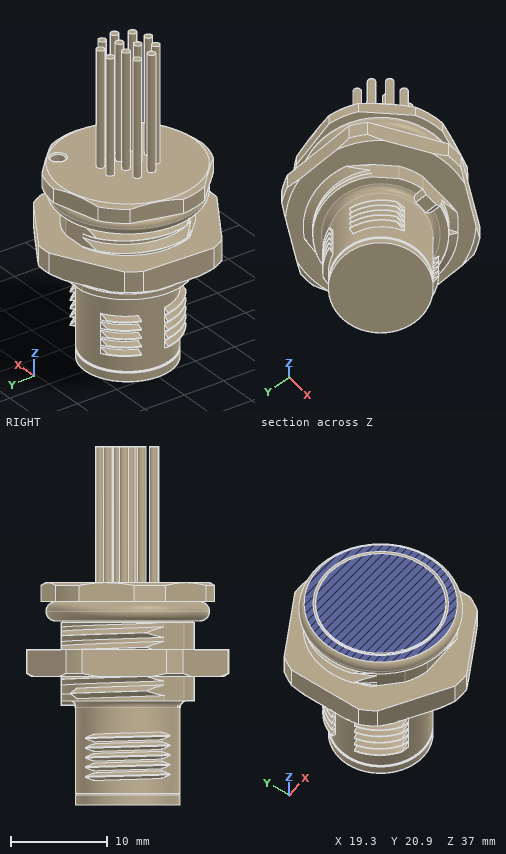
import cadquery as cq
import math

TOTAL_HEIGHT = 37.0
BARREL_TOP = 10.75
NUT_BOTTOM = 13.25
NUT_HEIGHT = 2.8
THREAD_TOP = 18.85
FLANGE_BOTTOM = 21.0
FLANGE_TOP = 23.0

BARREL_RADIUS = 5.42
BARREL_FILLET = 0.7
SPLIT_GROOVE_BOTTOM = 1.05
SPLIT_GROOVE_WIDTH = 0.15
SPLIT_GROOVE_DEPTH = 0.08
BARREL_THREAD_RADIUS = 6.0
BARREL_THREAD_PITCH = 1.0
BARREL_THREAD_BASE = 0.8
BARREL_THREAD_CREST = 0.1
BARREL_THREAD_START_Z = 2.9
BARREL_THREAD_START_ANGLE = -50.0
BARREL_THREAD_TURNS = 4.85
SIDE_PATCH_OUTER_Y = 5.0
FRONT_PATCH_INNER_Y = 0.84
BACK_PATCH_INNER_Y = 2.24
RIGHT_PATCH_X = 4.14

BODY_THREAD_RADIUS = 8.0
BODY_ROOT_RADIUS = 7.06
BODY_THREAD_PITCH = 1.5
BODY_THREAD_BASE = 1.08
BODY_THREAD_CREST = 0.02
BODY_THREAD_START_ANGLE = -48.0
BODY_THREAD_START_Z = 11.53
BODY_THREAD_TURNS = 5.2
BODY_FLAT_DISTANCE = 6.87
BODY_RELIEF_RADIUS = 7.0
LEAD_IN_RADIUS = 7.03
LEAD_IN_TOP = 11.45
NECK_RADIUS = 6.75
FLAT_ANGLES = (225.0, 270.0)

KEY_BOTTOM = 10.3
KEY_TOP_HALF_WIDTH = 1.35
KEY_BOTTOM_HALF_WIDTH = 0.8

NUT_APOTHEM = 9.5
NUT_CORNER_RADIUS = 10.45
NUT_CORNER_ANGLE = 27.87
NUT_CHAMFER_RADIUS = 9.85
FLANGE_APOTHEM = 8.5
FLANGE_CORNER_RADIUS = 9.0
FLANGE_CORNER_ANGLE = 15.0
FLANGE_CHAMFER_RADIUS = 8.43
CHAMFER_SLOPE = math.tan(math.radians(30.0))

RING_SECTION_RADIUS = 1.0
RING_OUTER_RADIUS = 8.45

DIMPLE_RADIUS = 0.82
DIMPLE_CHAMFER = 0.15
DIMPLE_DEPTH = 1.0
DIMPLE_DISTANCE = 7.3
DIMPLE_ANGLE = 45.0

WIRE_RADIUS = 0.45
OUTER_WIRE_COUNT = 9
OUTER_WIRE_CIRCLE = 2.9
OUTER_WIRE_START = 105.5
OUTER_WIRE_STEP = -37.7
INNER_WIRE_COUNT = 3
INNER_WIRE_CIRCLE = 1.1
INNER_WIRE_START = 14.5
INNER_WIRE_STEP = 120.0

THREAD_OVERLAP = 0.1
MARGIN = 5.0


def polar(radius, degrees):
    """Point at a radius and direction in the XY plane."""
    angle = math.radians(degrees)
    return radius * math.cos(angle), radius * math.sin(angle)


def cylinder(radius, bottom, top):
    return cq.Workplane("XY").workplane(offset=bottom).circle(radius).extrude(top - bottom)


def block(x_range, y_range, z_range):
    """Box spanning the three given (low, high) ranges."""
    lows, highs = zip(x_range, y_range, z_range)
    sizes = [high - low for low, high in zip(lows, highs)]
    return cq.Workplane("XY").box(*sizes, centered=False).translate(lows)


def helical_ridge(root, crest, pitch, base_width, crest_width, start_z, start_angle, turns):
    """Right-hand thread ridge with its foot slightly sunk into the root cylinder."""
    height = crest - root
    foot = root - THREAD_OVERLAP
    flank_growth = (base_width - crest_width) * THREAD_OVERLAP / height
    half_foot = (base_width + flank_growth) / 2
    half_crest = crest_width / 2
    profile_points = [(foot, -half_foot), (crest, -half_crest), (crest, half_crest), (foot, half_foot)]
    path = cq.Workplane(obj=cq.Wire.makeHelix(pitch, pitch * turns, root))
    ridge = cq.Workplane("XZ").polyline(profile_points).close().sweep(path, isFrenet=True)
    return ridge.rotate((0, 0, 0), (0, 0, 1), start_angle).translate((0, 0, start_z))


def rounded_hexagon(apothem, corner_radius, corner_angle, bottom, top):
    """Hexagonal prism whose corners are turned down to a cylinder."""
    hexagon = cq.Workplane("XY").workplane(offset=bottom)
    hexagon = hexagon.polygon(6, 2 * apothem / math.cos(math.pi / 6)).extrude(top - bottom)
    hexagon = hexagon.rotate((0, 0, 0), (0, 0, 1), corner_angle)
    return hexagon.intersect(cylinder(corner_radius, bottom, top))


def chamfer_envelope(face_radius, outer_radius, face_z, far_z):
    """Turned blank with a conical chamfer at the end lying at face_z."""
    toward_far = math.copysign(1, far_z - face_z)
    edge_z = face_z + toward_far * (outer_radius - face_radius) * CHAMFER_SLOPE
    profile_points = [
        (0, face_z),
        (face_radius, face_z),
        (outer_radius, edge_z),
        (outer_radius, far_z),
        (0, far_z),
    ]
    return cq.Workplane("XZ").polyline(profile_points).close().revolve(360, (0, 0), (0, 1))


def barrel():
    fillet_start = BARREL_TOP - BARREL_FILLET
    flare_radius = BARREL_RADIUS + BARREL_FILLET
    arc_offset = BARREL_FILLET * (1 - math.sqrt(0.5))
    profile = (
        cq.Workplane("XZ")
        .lineTo(BARREL_RADIUS, 0)
        .lineTo(BARREL_RADIUS, fillet_start)
        .threePointArc((BARREL_RADIUS + arc_offset, BARREL_TOP - arc_offset), (flare_radius, BARREL_TOP))
        .lineTo(0, BARREL_TOP)
        .close()
    )
    groove_top = SPLIT_GROOVE_BOTTOM + SPLIT_GROOVE_WIDTH
    groove = cylinder(BARREL_RADIUS + MARGIN, SPLIT_GROOVE_BOTTOM, groove_top)
    groove = groove.cut(cylinder(BARREL_RADIUS - SPLIT_GROOVE_DEPTH, SPLIT_GROOVE_BOTTOM, groove_top))
    return profile.revolve(360, (0, 0), (0, 1)).cut(groove)


def barrel_thread_patches():
    """The three places where the barrel thread is left standing."""
    ridge = helical_ridge(
        root=BARREL_RADIUS,
        crest=BARREL_THREAD_RADIUS,
        pitch=BARREL_THREAD_PITCH,
        base_width=BARREL_THREAD_BASE,
        crest_width=BARREL_THREAD_CREST,
        start_z=BARREL_THREAD_START_Z,
        start_angle=BARREL_THREAD_START_ANGLE,
        turns=BARREL_THREAD_TURNS,
    )
    reach = BARREL_THREAD_RADIUS + MARGIN
    heights = (0, BARREL_TOP)
    windows = [
        block((-reach, 0), (-SIDE_PATCH_OUTER_Y, -FRONT_PATCH_INNER_Y), heights),
        block((-reach, 0), (BACK_PATCH_INNER_Y, SIDE_PATCH_OUTER_Y), heights),
        block((RIGHT_PATCH_X, reach), (-reach, reach), heights),
    ]
    return [ridge.intersect(window) for window in windows]


def threaded_body():
    """M16 body with two opposite smooth sides, each a pair of flats joined by an arc."""
    body = cylinder(LEAD_IN_RADIUS, BARREL_TOP, LEAD_IN_TOP)
    body = body.union(cylinder(BODY_ROOT_RADIUS, LEAD_IN_TOP, THREAD_TOP))
    body = body.union(cylinder(NECK_RADIUS, THREAD_TOP, FLANGE_BOTTOM))
    ridge = helical_ridge(
        root=BODY_ROOT_RADIUS,
        crest=BODY_THREAD_RADIUS,
        pitch=BODY_THREAD_PITCH,
        base_width=BODY_THREAD_BASE,
        crest_width=BODY_THREAD_CREST,
        start_z=BODY_THREAD_START_Z,
        start_angle=BODY_THREAD_START_ANGLE,
        turns=BODY_THREAD_TURNS,
    )
    body = body.union(ridge.intersect(cylinder(BODY_THREAD_RADIUS + MARGIN, BARREL_TOP, THREAD_TOP)))
    reach = BODY_THREAD_RADIUS + MARGIN
    heights = (BARREL_TOP, FLANGE_BOTTOM)
    wedge = (
        cq.Workplane("XY")
        .workplane(offset=BARREL_TOP)
        .polyline([(0, 0)] + [polar(reach, angle) for angle in FLAT_ANGLES])
        .close()
        .extrude(FLANGE_BOTTOM - BARREL_TOP)
    )
    relief = wedge.cut(cylinder(BODY_RELIEF_RADIUS, *heights))
    flat_side = block((BODY_FLAT_DISTANCE, reach), (-reach, reach), heights)
    for side in (0, 180):
        body = body.cut(relief.rotate((0, 0, 0), (0, 0, 1), side))
        for angle in FLAT_ANGLES:
            body = body.cut(flat_side.rotate((0, 0, 0), (0, 0, 1), angle + side))
    return body


def locating_key():
    key_points = [
        (-KEY_TOP_HALF_WIDTH, BARREL_TOP),
        (-KEY_BOTTOM_HALF_WIDTH, KEY_BOTTOM),
        (KEY_BOTTOM_HALF_WIDTH, KEY_BOTTOM),
        (KEY_TOP_HALF_WIDTH, BARREL_TOP),
    ]
    return cq.Workplane("XZ").polyline(key_points).close().extrude(BODY_FLAT_DISTANCE)


def nut():
    top = NUT_BOTTOM + NUT_HEIGHT
    hexagon = rounded_hexagon(NUT_APOTHEM, NUT_CORNER_RADIUS, NUT_CORNER_ANGLE, NUT_BOTTOM, top)
    return hexagon.intersect(chamfer_envelope(NUT_CHAMFER_RADIUS, NUT_CORNER_RADIUS, NUT_BOTTOM, top))


def sealing_ring():
    center_radius = RING_OUTER_RADIUS - RING_SECTION_RADIUS
    center_z = FLANGE_BOTTOM - RING_SECTION_RADIUS
    section = cq.Workplane("XZ").center(center_radius, center_z).circle(RING_SECTION_RADIUS)
    return section.revolve(360, (-center_radius, 0), (-center_radius, 1))


def flange():
    hexagon = rounded_hexagon(
        FLANGE_APOTHEM, FLANGE_CORNER_RADIUS, FLANGE_CORNER_ANGLE, FLANGE_BOTTOM, FLANGE_TOP
    )
    blank = chamfer_envelope(FLANGE_CHAMFER_RADIUS, FLANGE_CORNER_RADIUS, FLANGE_TOP, FLANGE_BOTTOM)
    dimple = cylinder(DIMPLE_RADIUS, FLANGE_TOP - DIMPLE_DEPTH, FLANGE_TOP)
    countersink = cq.Workplane("XY").workplane(offset=FLANGE_TOP).circle(DIMPLE_RADIUS + DIMPLE_CHAMFER)
    countersink = countersink.workplane(offset=-DIMPLE_CHAMFER).circle(DIMPLE_RADIUS).loft()
    dimple = dimple.union(countersink).translate((*polar(DIMPLE_DISTANCE, DIMPLE_ANGLE), 0))
    return hexagon.intersect(blank).cut(dimple)


def wires():
    outer = [
        polar(OUTER_WIRE_CIRCLE, OUTER_WIRE_START + i * OUTER_WIRE_STEP) for i in range(OUTER_WIRE_COUNT)
    ]
    inner = [
        polar(INNER_WIRE_CIRCLE, INNER_WIRE_START + i * INNER_WIRE_STEP) for i in range(INNER_WIRE_COUNT)
    ]
    plane = cq.Workplane("XY").workplane(offset=FLANGE_TOP)
    return plane.pushPoints(outer + inner).circle(WIRE_RADIUS).extrude(TOTAL_HEIGHT - FLANGE_TOP)


result = barrel()
for patch in barrel_thread_patches():
    result = result.union(patch)
for feature in (threaded_body(), locating_key(), nut(), sealing_ring(), flange(), wires()):
    result = result.union(feature)